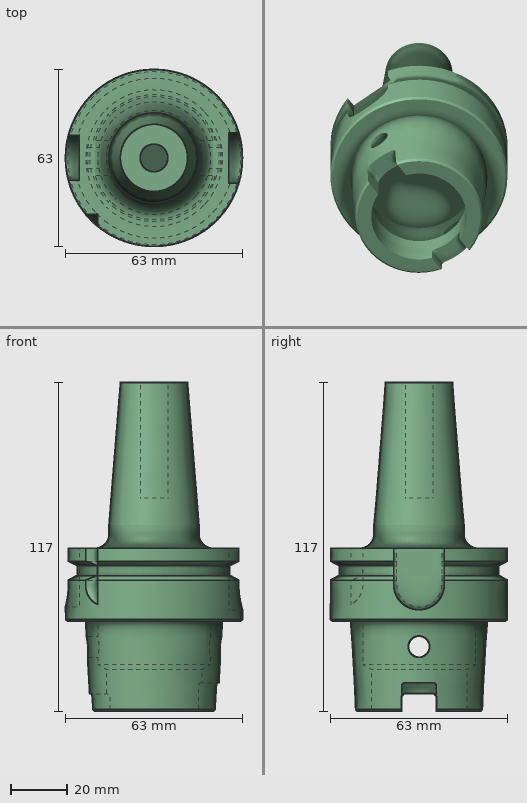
import cadquery as cq

shoulder_to_nose = 85.0
taper_length = 32.0

flange_radius = 31.5
flange_height = 26.0
flange_edge_chamfer = 0.7
groove_floor_radius = 28.4
groove_upper_edge = flange_height - 4.6
groove_lower_edge = flange_height - 11.3
groove_flank_height = 1.6

shank_top_radius = 24.3
shank_end_radius = 22.6
shank_edge_chamfer = 0.7
mouth_radius = 17.0
mouth_height = 15.0
chamber_radius = 20.0
chamber_cone_height = 1.8

root_radius = 16.0
root_fillet = 4.9
cone_base_height = 34.2
nose_radius = 11.9
tool_bore_radius = 4.9
tool_bore_depth = 41.0

slot_center_height = flange_height - 12.9
slot_floor_distance = 26.6
left_slot_width = 16.0
right_slot_width = 18.0
notch_width = 16.0
notch_offset = 20.0

cross_hole_radius = 3.7
cross_hole_drop = 9.0
keyway_width = 12.4
left_keyway_height = 6.3
right_keyway_height = 10.3
keyway_corner_radius = 1.4


def turned_body():
    """Outer profile revolved about Z, from the shank end up to the nose."""
    fillet_top = flange_height + root_fillet
    return (
        cq.Workplane("XZ")
        .moveTo(0, -taper_length)
        .lineTo(shank_end_radius - shank_edge_chamfer, -taper_length)
        .lineTo(shank_end_radius, shank_edge_chamfer - taper_length)
        .lineTo(shank_top_radius, 0)
        .lineTo(flange_radius - flange_edge_chamfer, 0)
        .lineTo(flange_radius, flange_edge_chamfer)
        .lineTo(flange_radius, groove_lower_edge)
        .lineTo(groove_floor_radius, groove_lower_edge + groove_flank_height)
        .lineTo(groove_floor_radius, groove_upper_edge - groove_flank_height)
        .lineTo(flange_radius, groove_upper_edge)
        .lineTo(flange_radius, flange_height)
        .lineTo(root_radius + root_fillet, flange_height)
        .radiusArc((root_radius, fillet_top), root_fillet)
        .lineTo(root_radius, cone_base_height)
        .lineTo(nose_radius, shoulder_to_nose)
        .lineTo(0, shoulder_to_nose)
        .close()
        .revolve(360, (0, 0, 0), (0, 1, 0))
    )


def flange_slot(side, width, center_y, floor_distance):
    """Cutter open at the top and outwards along X; side is -1 or +1."""
    radius = width / 2
    return (
        cq.Workplane("YZ", origin=(side * floor_distance, 0, 0))
        .moveTo(center_y - radius, flange_height)
        .lineTo(center_y - radius, slot_center_height)
        .threePointArc(
            (center_y, slot_center_height - radius),
            (center_y + radius, slot_center_height),
        )
        .lineTo(center_y + radius, flange_height)
        .close()
        .extrude(side * flange_radius)
    )


def keyway(side, height):
    """Drive keyway through one side of the shank wall, rounded at its inner corners."""
    block = cq.Workplane("XY", origin=(0, 0, -taper_length)).box(
        flange_radius, keyway_width, height, centered=(True, True, False)
    )
    rounded = block.edges("|X and >Z").fillet(keyway_corner_radius)
    return rounded.translate((side * flange_radius / 2, 0, 0))


def clamping_cavity():
    """Cavity up to the shoulder plane, opening from a narrow mouth into a wider chamber."""
    mouth_top = mouth_height - taper_length
    return (
        cq.Workplane("XZ")
        .moveTo(0, -taper_length)
        .lineTo(mouth_radius, -taper_length)
        .lineTo(mouth_radius, mouth_top)
        .lineTo(chamber_radius, mouth_top + chamber_cone_height)
        .lineTo(chamber_radius, 0)
        .lineTo(0, 0)
        .close()
        .revolve(360, (0, 0, 0), (0, 1, 0))
    )


tool_bore = (
    cq.Workplane("XY", origin=(0, 0, shoulder_to_nose))
    .circle(tool_bore_radius)
    .extrude(-tool_bore_depth)
)


cross_hole = (
    cq.Workplane("YZ", origin=(0, 0, -cross_hole_drop))
    .circle(cross_hole_radius)
    .extrude(flange_radius, both=True)
)
notch_center_y = -notch_offset - notch_width / 2

result = (
    turned_body()
    .cut(tool_bore)
    .cut(clamping_cavity())
    .cut(flange_slot(-1, left_slot_width, 0, slot_floor_distance))
    .cut(flange_slot(1, right_slot_width, 0, slot_floor_distance))
    .cut(flange_slot(-1, notch_width, notch_center_y, notch_offset))
    .cut(cross_hole)
    .cut(keyway(-1, left_keyway_height))
    .cut(keyway(1, right_keyway_height))
)